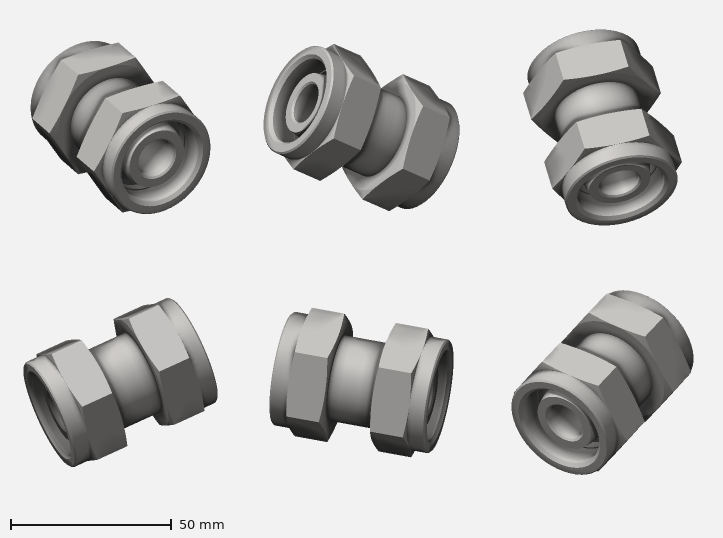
import cadquery as cq
import math


nut_front = 25.0
nut_back = 7.5
hex_front = 19.45
across_flats = 36.0
across_corners = across_flats / math.cos(math.radians(30))
hex_chamfer_angle = 15.0
collar_radius = 17.95
collar_chamfer = 0.5

thread_radius = 13.95
thread_end = 16.0
mouth_chamfer = 1.05

body_radius = 13.5
shoulder = 13.05
cone_front = 22.1
cone_front_radius = 9.85
cone_half_angle = 12.0
bore_radius = 6.45
bore_chamfer = 0.55

band_front = 18.55
band_back = 16.0
band_back_radius = 10.8


def revolve_about_x(profile):
    """Revolve a closed list of (x, radius) points about the X axis."""
    return cq.Workplane("XY").polyline(profile).close().revolve(360, (0, 0), (1, 0))


def cone_radius(x):
    """Radius of the right-hand sealing cone at position x."""
    return cone_front_radius + (cone_front - x) * math.tan(math.radians(cone_half_angle))


def make_body():
    """Tube with a plain middle, a shoulder and a sealing cone at each end, and a through bore."""
    half_profile = [
        (shoulder, body_radius),
        (shoulder, cone_radius(shoulder)),
        (band_back, cone_radius(band_back)),
        (band_back, band_back_radius),
        (band_front, cone_radius(band_front)),
        (cone_front, cone_front_radius),
        (cone_front, bore_radius + bore_chamfer),
        (cone_front - bore_chamfer, bore_radius),
    ]
    mirrored = [(-x, radius) for x, radius in reversed(half_profile)]
    return revolve_about_x(half_profile + mirrored)


def make_hexagon():
    """Hexagon with corners on the Y axis, both ends chamfered by a cone."""
    hexagon = (
        cq.Workplane("YZ", origin=(nut_back, 0, 0))
        .polygon(6, across_corners)
        .extrude(hex_front - nut_back)
    )
    flat_radius = across_flats / 2
    corner_radius = across_corners / 2
    chamfer_depth = (corner_radius - flat_radius) * math.tan(math.radians(hex_chamfer_angle))
    envelope = revolve_about_x([
        (nut_back, 0),
        (nut_back, flat_radius),
        (nut_back + chamfer_depth, corner_radius),
        (hex_front - chamfer_depth, corner_radius),
        (hex_front, flat_radius),
        (hex_front, 0),
    ])
    return hexagon.intersect(envelope)


def make_collar():
    """Round collar at the open end of the nut."""
    return (
        cq.Workplane("YZ", origin=(hex_front, 0, 0))
        .circle(collar_radius)
        .extrude(nut_front - hex_front)
        .faces(">X")
        .chamfer(collar_chamfer)
    )


def make_nut_bore():
    """Stepped bore that fits the body and opens into a chamfered thread bore."""
    return revolve_about_x([
        (nut_back, 0),
        (nut_back, body_radius),
        (thread_end, body_radius),
        (thread_end, thread_radius),
        (nut_front - mouth_chamfer, thread_radius),
        (nut_front, thread_radius + mouth_chamfer),
        (nut_front, 0),
    ])


def make_nut():
    """Union nut for the +X end."""
    return make_hexagon().union(make_collar()).cut(make_nut_bore())


body = make_body()
nuts = [make_nut().rotate((0, 0, 0), (0, 0, 1), turn) for turn in (0, 180)]

result = cq.Compound.makeCompound([body.val(), *[nut.val() for nut in nuts]])